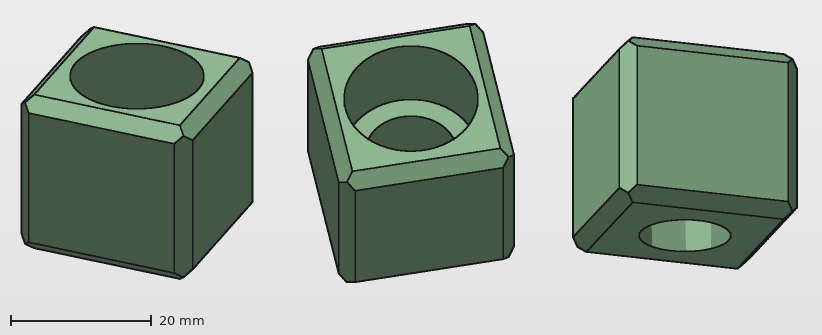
import cadquery as cq

length_x = 26.5
width_y = 25.4
height_z = 25.0
edge_chamfer = 2.0

bore_diameter = 19.0
bore_depth = 12.3
through_diameter = 13.0


def bevelled_bar(axis):
    """Full-size block with only the four edges along one axis bevelled."""
    bar = cq.Workplane("XY").box(length_x, width_y, height_z)
    return bar.edges("|" + axis).chamfer(edge_chamfer)


block = bevelled_bar("X").intersect(bevelled_bar("Y")).intersect(bevelled_bar("Z"))

result = (
    block.faces(">Z")
    .workplane(origin=(0, 0, 0))
    .cboreHole(through_diameter, bore_diameter, bore_depth)
)